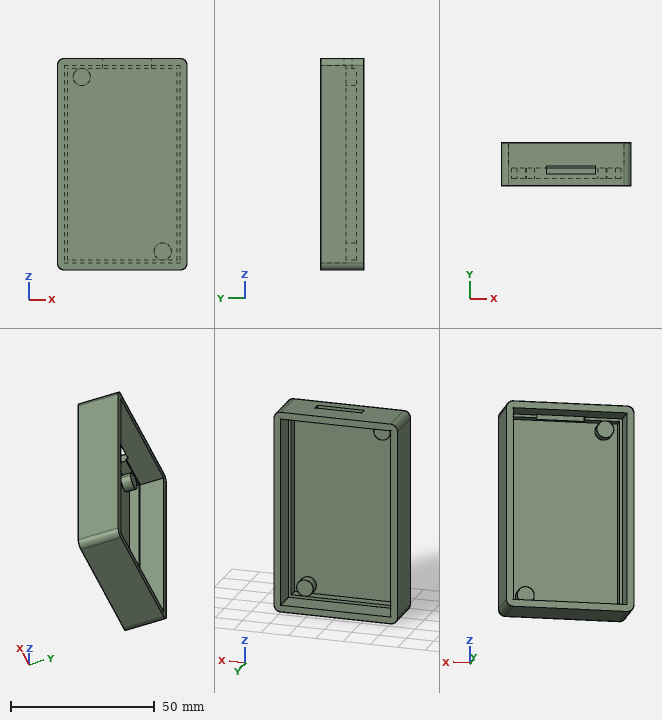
import cadquery as cq

width = 45.24
depth = 15.0
height = 73.79
corner_radius = 2.5

wall = 2.5
floor_thickness = 2.5
ledge_width = 1.0
ledge_height = 6.2

slot_length = 17.0
slot_width = 2.8
slot_center_x = 1.6
slot_front_gap = 4.1

post_diameter = 6.0
post_x = 14.1
post_z = 30.4

front_y = -depth / 2
back_y = depth / 2


def block(y_start, y_end, inset=0.0):
    """Upright block between two Y positions, inset from the outer sides."""
    return (
        cq.Workplane("XZ", origin=(0, y_start, 0))
        .rect(width - 2 * inset, height - 2 * inset)
        .extrude(y_start - y_end)
    )


def make_tray():
    body = block(front_y, back_y).edges("|Y").fillet(corner_radius)
    upper_cavity = block(front_y + ledge_height, back_y, wall)
    floor_recess = block(front_y + floor_thickness, back_y, wall + ledge_width)
    return body.cut(upper_cavity).cut(floor_recess)


def make_slot():
    slot_depth = wall + ledge_width
    slot_center_y = front_y + slot_front_gap + slot_width / 2
    slot_center_z = (height - slot_depth) / 2
    return (
        cq.Workplane("XY")
        .box(slot_length, slot_width, slot_depth)
        .translate((slot_center_x, slot_center_y, slot_center_z))
    )


def make_posts():
    return (
        cq.Workplane("XZ", origin=(0, front_y, 0))
        .pushPoints([(-post_x, post_z), (post_x, -post_z)])
        .circle(post_diameter / 2)
        .extrude(-ledge_height)
    )


result = make_tray().cut(make_slot()).union(make_posts(), clean=False)